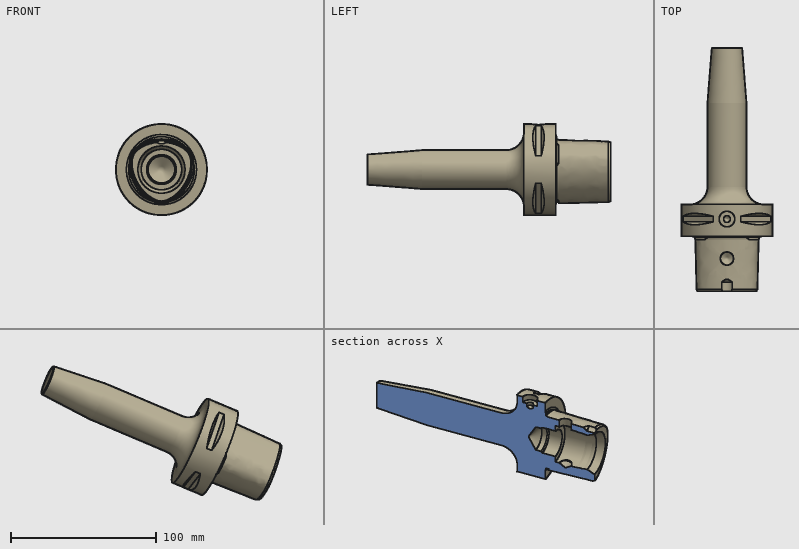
import cadquery as cq
import math


TOTAL_LENGTH = 168.0
SHANK_LENGTH = 38.0
FLANGE_LENGTH = 22.0
FLANGE_RADIUS = 63.0 / 2
NECK_RADIUS = 27.0 / 2
NECK_FILLET = 12.1
NOSE_LENGTH = 38.0
NOSE_TIP_RADIUS = 10.0
NOSE_TIP_CHAMFER = 0.5
NOSE_END = TOTAL_LENGTH - SHANK_LENGTH

SHANK_HALF_WIDTH = 22.0
LOBE_HEIGHT = 1.43
TAPER_PER_SIDE = 1 / 40
SHANK_CHAMFER_LENGTH = 1.7
SHANK_CHAMFER_HEIGHT = 0.8

COLLAR_BASE_RADIUS = 24.2
COLLAR_TOP_RADIUS = 22.7
COLLAR_HEIGHT = 0.5
ROOT_LENGTH = 2.2
ROOT_FLARE = 0.7
ROOT_RADIUS = 22.5

MOUTH_RADIUS = 16.3
MOUTH_INNER_RADIUS = 15.6
MOUTH_DEPTH = 1.7
LAND_RADIUS = 14.0
LAND_START = 5.7
LAND_END = 7.4
GROOVE_RADIUS = 14.3
GROOVE_START = 9.0
GROOVE_END = 12.5
CHAMBER_RADIUS = 14.6
CHAMBER_START = 14.3
CHAMBER_END = 30.2
PILOT_RADIUS = 10.2
PILOT_END = 40.3
CORE_RADIUS = 9.2
CORE_END = 45.4
DRILL_HALF_ANGLE = 59.0

SLOT_POSITION = 12.0
SLOT_FLOOR_WIDTH = 3.7
SLOT_FLOOR_DISTANCE = 27.9
SLOT_FLANK_ANGLE = 30.0
SLOT_ANGLES = (45, 135, 225, 315)
CHIP_HOLE_RADIUS = 5.4
CHIP_HOLE_DEPTH = 4.5
CHIP_PILOT_RADIUS = 2.4
CHIP_PILOT_DEPTH = 2.5

SIDE_HOLE_RADIUS = 4.5
SIDE_HOLE_DISTANCE = 15.3
NOTCH_RADIUS = 4.5
NOTCH_FLOOR_Z = 17.6
NOTCH_LENGTH = 6.2


def drill_tip(radius):
    return radius / math.tan(math.radians(DRILL_HALF_ANGLE))


def revolve_about_y(profile):
    """Close a (radius, y) outline and revolve it about the Y axis."""
    return profile.close().revolve(360, (0, 0, 0), (0, 1, 0))


def make_turned_body():
    neck_start = FLANGE_LENGTH + NECK_FILLET
    fillet_mid = NECK_FILLET * (1 - math.sqrt(0.5))
    profile = (
        cq.Workplane("XY")
        .moveTo(0, -COLLAR_HEIGHT)
        .lineTo(COLLAR_TOP_RADIUS, -COLLAR_HEIGHT)
        .lineTo(COLLAR_BASE_RADIUS, 0)
        .lineTo(FLANGE_RADIUS, 0)
        .lineTo(FLANGE_RADIUS, FLANGE_LENGTH)
        .lineTo(NECK_RADIUS + NECK_FILLET, FLANGE_LENGTH)
        .threePointArc((NECK_RADIUS + fillet_mid, FLANGE_LENGTH + fillet_mid), (NECK_RADIUS, neck_start))
        .lineTo(NECK_RADIUS, NOSE_END - NOSE_LENGTH)
        .lineTo(NOSE_TIP_RADIUS + NOSE_TIP_CHAMFER, NOSE_END - NOSE_TIP_CHAMFER)
        .lineTo(NOSE_TIP_RADIUS, NOSE_END)
        .lineTo(0, NOSE_END)
    )
    return revolve_about_y(profile)


def lobed_section(plane, half_width):
    """Closed constant-width curve with lobes at -Z and 30 degrees above +X and -X."""

    def point(turn):
        angle = 2 * math.pi * turn
        reach = half_width + LOBE_HEIGHT * math.sin(3 * angle)
        slope = 3 * LOBE_HEIGHT * math.cos(3 * angle)
        return (
            reach * math.cos(angle) - slope * math.sin(angle),
            reach * math.sin(angle) + slope * math.cos(angle),
        )

    return plane.parametricCurve(point, N=90)


def loft_shank(start, end, start_half_width, end_half_width):
    """Loft between two distances from the gauge face."""
    plane = cq.Workplane("XZ", origin=(0, -start, 0))
    first = lobed_section(plane, start_half_width)
    return lobed_section(first.workplane(offset=end - start), end_half_width).loft(ruled=True)


def taper_half_width(distance):
    return SHANK_HALF_WIDTH - TAPER_PER_SIDE * distance


def make_shank_root():
    flare = loft_shank(0, ROOT_LENGTH, SHANK_HALF_WIDTH + ROOT_FLARE, taper_half_width(ROOT_LENGTH))
    return flare.intersect(cq.Workplane("XZ").circle(ROOT_RADIUS).extrude(ROOT_LENGTH))


def make_shank():
    taper_end = SHANK_LENGTH - SHANK_CHAMFER_LENGTH
    end_half_width = taper_half_width(taper_end)
    taper = loft_shank(ROOT_LENGTH, taper_end, taper_half_width(ROOT_LENGTH), end_half_width)
    chamfer = loft_shank(taper_end, SHANK_LENGTH, end_half_width, end_half_width - SHANK_CHAMFER_HEIGHT)
    return make_shank_root().union(taper).union(chamfer)


def make_bore():
    steps = (
        (MOUTH_RADIUS, 0),
        (MOUTH_INNER_RADIUS, MOUTH_DEPTH),
        (LAND_RADIUS, LAND_START),
        (LAND_RADIUS, LAND_END),
        (GROOVE_RADIUS, GROOVE_START),
        (GROOVE_RADIUS, GROOVE_END),
        (CHAMBER_RADIUS, CHAMBER_START),
        (CHAMBER_RADIUS, CHAMBER_END),
        (PILOT_RADIUS, CHAMBER_END),
        (PILOT_RADIUS, PILOT_END),
        (CORE_RADIUS, PILOT_END + PILOT_RADIUS - CORE_RADIUS),
        (CORE_RADIUS, CORE_END),
        (0, CORE_END + drill_tip(CORE_RADIUS)),
    )
    profile = cq.Workplane("XY").moveTo(0, -SHANK_LENGTH)
    for radius, depth in steps:
        profile = profile.lineTo(radius, depth - SHANK_LENGTH)
    return revolve_about_y(profile)


def make_gripper_slots():
    """Straight slots with sloping flanks, cut as chords across the flange rim."""
    depth = FLANGE_RADIUS - SLOT_FLOOR_DISTANCE
    floor = SLOT_FLOOR_WIDTH / 2
    mouth = floor + depth * math.tan(math.radians(SLOT_FLANK_ANGLE))
    slot = (
        cq.Workplane("YZ")
        .moveTo(SLOT_POSITION - floor, SLOT_FLOOR_DISTANCE)
        .lineTo(SLOT_POSITION + floor, SLOT_FLOOR_DISTANCE)
        .lineTo(SLOT_POSITION + mouth, FLANGE_RADIUS)
        .lineTo(SLOT_POSITION - mouth, FLANGE_RADIUS)
        .close()
        .extrude(FLANGE_RADIUS, both=True)
    )
    slots = cq.Workplane("XY")
    for angle in SLOT_ANGLES:
        slots = slots.add(slot.rotate((0, 0, 0), (0, 1, 0), angle))
    return slots.combine()


def make_drilling(y, floor_z, radius, tip_height):
    """Drilled hole open to +Z, with a conical tip below its floor."""
    profile = (
        cq.Workplane("XZ", origin=(0, y, 0))
        .moveTo(0, floor_z - tip_height)
        .lineTo(radius, floor_z)
        .lineTo(radius, FLANGE_RADIUS)
        .lineTo(0, FLANGE_RADIUS)
        .close()
    )
    return profile.revolve(360, (0, 0, 0), (0, 1, 0))


def make_chip_hole():
    floor_z = FLANGE_RADIUS - CHIP_HOLE_DEPTH
    recess = make_drilling(SLOT_POSITION, floor_z, CHIP_HOLE_RADIUS, 0)
    pilot_floor_z = floor_z - CHIP_PILOT_DEPTH
    pilot = make_drilling(SLOT_POSITION, pilot_floor_z, CHIP_PILOT_RADIUS, drill_tip(CHIP_PILOT_RADIUS))
    return recess.union(pilot)


def make_side_hole():
    """Hole across the bore that ends in a drill-tip dimple in the opposite wall."""
    return make_drilling(
        -SIDE_HOLE_DISTANCE, -CHAMBER_RADIUS, SIDE_HOLE_RADIUS, drill_tip(SIDE_HOLE_RADIUS)
    )


def make_notch():
    """Round-bottomed groove in the shank end that runs out in a 45 degree cone."""
    axis_z = NOTCH_FLOOR_Z + NOTCH_RADIUS
    cone_start = NOTCH_LENGTH - SHANK_LENGTH
    profile = (
        cq.Workplane("XY", origin=(0, 0, axis_z))
        .moveTo(0, -SHANK_LENGTH)
        .lineTo(NOTCH_RADIUS, -SHANK_LENGTH)
        .lineTo(NOTCH_RADIUS, cone_start)
        .lineTo(0, cone_start + NOTCH_RADIUS)
    )
    return revolve_about_y(profile)


result = (
    make_turned_body()
    .union(make_shank())
    .cut(make_bore())
    .cut(make_gripper_slots())
    .cut(make_chip_hole())
    .cut(make_side_hole())
    .cut(make_notch())
)